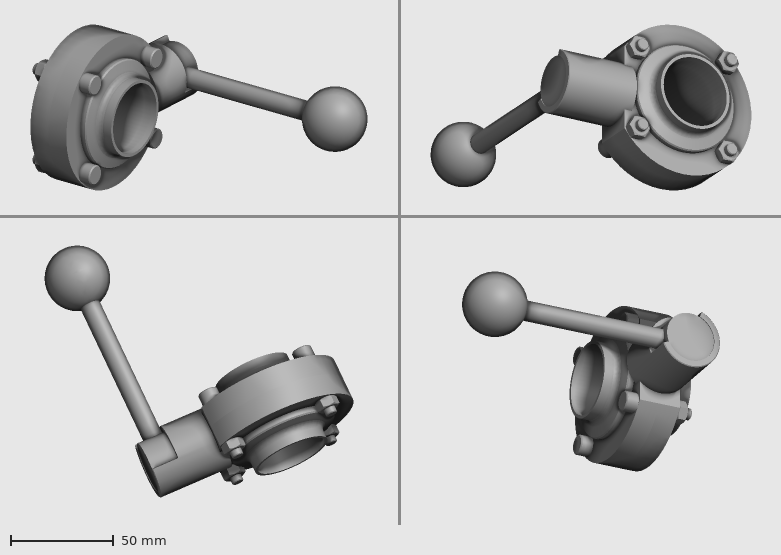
import cadquery as cq
import math


overall_length = 141.5
overall_width = 112.5

bore_radius = 35.5 / 2
pipe_radius = 38.6 / 2
pipe_half_length = 23.5
flange_radius = 78.0 / 2
flange_thickness = 10.9
flat_y = 32.4
collar_radius = 55.0 / 2
collar_end_x = 13.6
collar_bevel_length = 0.7
collar_bevel_depth = 0.5
cone_end_x = 16.3
neck_fillet = 3.0

hub_radius = 32.0 / 2
hub_bottom_y = 28.5
hub_top_y = 66.5
hub_chamfer = 0.4
stem_recess = 0.4
stem_radius = 25.5 / 2
window_end_angle = 22.5
window_corner_radius = 0.8

rod_radius = 10.0 / 2
knob_radius = 32.0 / 2
knob_x = overall_length - pipe_half_length - knob_radius
lever_y = overall_width - flange_radius - knob_radius
window_bottom_y = lever_y - rod_radius

bolt_axes = [(26.5, 21.1), (-23.6, 23.6)]
bolt_radius = 6.0 / 2
bolt_tip_chamfer = 0.4
bolt_tip_projection = 8.2
head_radius = 10.0 / 2
head_height = 6.4
head_chamfer = 0.5
nut_across_flats = 10.0
nut_height = 5.1
nut_face_radius = 4.7
nut_bevel_angle = 30


def flange_half():
    """The +X half of the flanged pipe, without its bolt holes."""
    bevel_end_x = collar_end_x + collar_bevel_length
    half = (
        cq.Workplane("XY")
        .moveTo(0, bore_radius)
        .lineTo(0, flange_radius)
        .lineTo(flange_thickness, flange_radius)
        .lineTo(flange_thickness, collar_radius)
        .lineTo(collar_end_x, collar_radius)
        .lineTo(bevel_end_x, collar_radius - collar_bevel_depth)
        .lineTo(cone_end_x, pipe_radius)
        .lineTo(pipe_half_length, pipe_radius)
        .lineTo(pipe_half_length, bore_radius)
        .close()
        .revolve(360, (0, 0, 0), (1, 0, 0))
    )
    neck = cq.selectors.RadiusNthSelector(1)
    half = half.edges(neck).edges("<X").fillet(neck_fillet)
    beyond_flat = cq.Workplane("XY").box(
        4 * pipe_half_length, flange_radius, 2 * flange_radius
    ).translate((0, flat_y + flange_radius / 2, 0))
    return half.cut(beyond_flat)


def cylinder_along_x(radius, x_start, x_end, y=0, z=0):
    return cq.Workplane("YZ", origin=(x_start, y, z)).circle(radius).extrude(x_end - x_start)


def lever_window():
    """Ring sector outside the stem, open at the hub top, from +Z side round to +X side."""
    sector = (
        cq.Workplane("XY")
        .moveTo(stem_radius, window_bottom_y)
        .lineTo(2 * hub_radius, window_bottom_y)
        .lineTo(2 * hub_radius, hub_top_y + hub_chamfer)
        .lineTo(stem_radius, hub_top_y + hub_chamfer)
        .close()
        .revolve(90 + 2 * window_end_angle, (0, 0, 0), (0, -1, 0))
    )
    sector = sector.faces("<Y").edges("%LINE").fillet(window_corner_radius)
    return sector.rotate((0, 0, 0), (0, 1, 0), window_end_angle)


def hub():
    """Round hub whose lower end straddles the flange pair."""
    barrel = (
        cq.Workplane("XZ", origin=(0, hub_bottom_y, 0))
        .circle(hub_radius)
        .extrude(hub_bottom_y - hub_top_y)
        .faces(">Y")
        .chamfer(hub_chamfer)
    )
    stem_end = (
        cq.Workplane("XZ", origin=(0, hub_top_y, 0))
        .circle(stem_radius)
        .extrude(stem_recess)
    )
    return barrel.cut(lever_window()).cut(stem_end)


def lever():
    """Straight rod from the stem axis into a ball knob."""
    knob = cq.Workplane("XY", origin=(knob_x, lever_y, 0)).sphere(knob_radius, direct=(1, 0, 0))
    rod = cylinder_along_x(rod_radius, 0, knob_x, lever_y)
    return knob.union(rod)


def valve():
    right_half = flange_half()
    left_half = right_half.mirror("YZ")
    flanges = left_half.union(right_half, clean=False)
    body = flanges.union(hub(), clean=False).union(lever(), clean=False)
    for y, z in bolt_positions():
        hole = cylinder_along_x(bolt_radius, -flange_thickness, flange_thickness, y, z)
        body = body.cut(hole, clean=False)
    return body


def bolt_positions():
    return [(y, side * z) for y, z in bolt_axes for side in (1, -1)]


def nut():
    """Hexagon nut on the X axis, bevelled at both ends, seated on the -X flange."""
    corner_radius = nut_across_flats / math.sqrt(3)
    bevel = (corner_radius - nut_face_radius) * math.tan(math.radians(nut_bevel_angle))
    hexagon = (
        cq.Workplane("YZ", origin=(-flange_thickness - nut_height, 0, 0))
        .polygon(6, 2 * corner_radius)
        .extrude(nut_height)
    )
    bevel_envelope = cylinder_along_x(
        corner_radius, -flange_thickness - nut_height, -flange_thickness
    ).faces("<X or >X").chamfer(bevel, corner_radius - nut_face_radius)
    return hexagon.intersect(bevel_envelope)


def bolt(y, z):
    """Cap screw with its nut; the head is on the +X flange."""
    shank = (
        cylinder_along_x(bolt_radius, -flange_thickness - bolt_tip_projection, flange_thickness)
        .faces("<X")
        .chamfer(bolt_tip_chamfer)
    )
    head = (
        cylinder_along_x(head_radius, flange_thickness, flange_thickness + head_height)
        .faces(">X")
        .chamfer(head_chamfer)
    )
    return shank.union(head).union(nut()).translate((0, y, z))


valve_body = valve()
bolts = [bolt(y, z) for y, z in bolt_positions()]

result = cq.Compound.makeCompound([valve_body.val(), *[b.val() for b in bolts]])